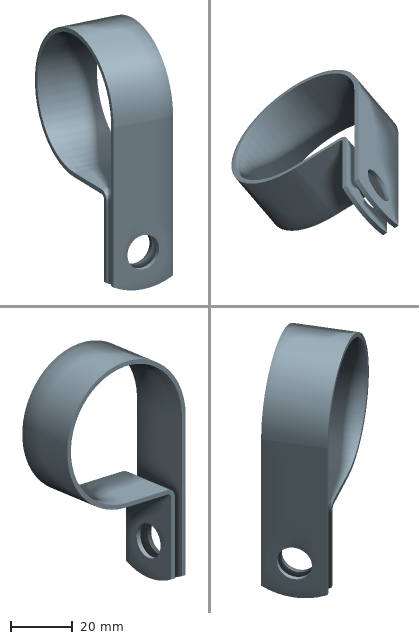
import cadquery as cq
import math

height = 83.3
width = 22.2
thickness = 1.6
loop_diameter = 50.7

leg_gap = 3.1
bend_radius = 3.0
hole_diameter = 11.8
hole_height = 12.8
tip_rise = 2.7

loop_radius = loop_diameter / 2
bore_radius = loop_radius - thickness
bottom = loop_radius - height
short_leg_outer = loop_radius - thickness - leg_gap
short_leg_inner = short_leg_outer - thickness
inner_bend_radius = bend_radius - thickness
bend_x = short_leg_outer - bend_radius
bend_z = -bore_radius - bend_radius


def bend_middle(radius):
    """Point halfway round the bend at the given radius."""
    offset = radius * math.sqrt(0.5)
    return (bend_x + offset, bend_z + offset)


def bent_strip():
    """Long leg, three-quarter loop, flat shelf and short leg as one strip."""
    loop_middle = math.sqrt(0.5)
    profile = (
        cq.Workplane("XZ")
        .moveTo(loop_radius, bottom)
        .lineTo(loop_radius, 0)
        .threePointArc((-loop_radius * loop_middle, loop_radius * loop_middle), (0, -loop_radius))
        .lineTo(bend_x, -loop_radius)
        .threePointArc(bend_middle(inner_bend_radius), (short_leg_inner, bend_z))
        .lineTo(short_leg_inner, bottom)
        .lineTo(short_leg_outer, bottom)
        .lineTo(short_leg_outer, bend_z)
        .threePointArc(bend_middle(bend_radius), (bend_x, -bore_radius))
        .lineTo(0, -bore_radius)
        .threePointArc((-bore_radius * loop_middle, bore_radius * loop_middle), (bore_radius, 0))
        .lineTo(bore_radius, bottom)
        .close()
    )
    return profile.extrude(width / 2, both=True)


def leg_envelope():
    """Block along X, as wide as the strip, with the rounded lower end of the legs."""
    return (
        cq.Workplane("YZ")
        .moveTo(-width / 2, loop_radius)
        .lineTo(-width / 2, bottom + tip_rise)
        .threePointArc((0, bottom), (width / 2, bottom + tip_rise))
        .lineTo(width / 2, loop_radius)
        .close()
        .extrude(loop_radius, both=True)
    )


def leg_hole():
    """Bolt hole through both legs."""
    return (
        cq.Workplane("YZ")
        .center(0, bottom + hole_height)
        .circle(hole_diameter / 2)
        .extrude(loop_radius)
    )


result = bent_strip().intersect(leg_envelope()).cut(leg_hole())